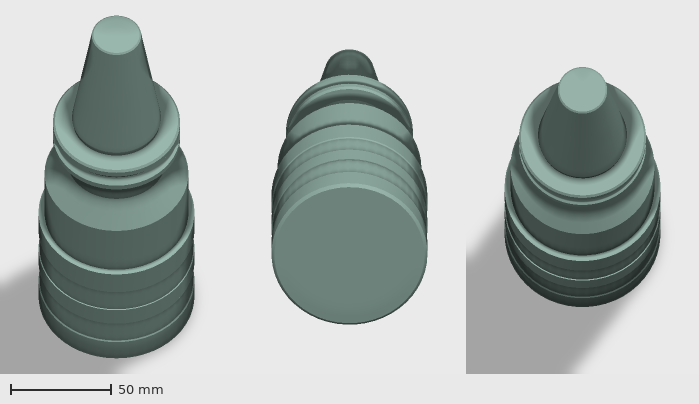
import cadquery as cq
import math


gauge_radius = 44.45 / 2
taper_length = 68.4
taper_slope = 7 / 24 / 2
taper_tip_chamfer = 0.7
gauge_land = 0.4
relief_radius = 21.75

flange_radius = 63.55 / 2
flange_top_z = -3.2
flange_bottom_z = -19.1
flange_chamfer = 1.0
groove_center_z = -11.1
groove_radius = 56.25 / 2
groove_mouth_width = 7.6
groove_flank_angle = 30

neck_radius = 24.85
shoulder_top_z = -35.0
body_radius = 36.0
shoulder_bottom_z = -46.9

nose_bottom_z = -150.0
nose_radius = 38.4
collar_radius = 39.0
collar_edge_chamfer = collar_radius - nose_radius
upper_collar_top_z = -79.0
upper_collar_bottom_z = -94.3
middle_collar_top_z = -108.6
middle_collar_bottom_z = -119.8
lower_collar_top_z = -134.5
nose_chamfer = 1.5


def taper_points():
    """Half outline from the small end down to the top of the flange."""
    tip_radius = gauge_radius - taper_length * taper_slope
    chamfer_z = taper_length - taper_tip_chamfer
    chamfer_radius = gauge_radius - chamfer_z * taper_slope
    return [
        (0, taper_length),
        (tip_radius - taper_tip_chamfer, taper_length),
        (chamfer_radius, chamfer_z),
        (gauge_radius, 0),
        (gauge_radius, -gauge_land),
        (relief_radius, -gauge_land),
        (relief_radius, flange_top_z),
    ]


def flange_points():
    """Half outline of the flange with its V groove."""
    flank_height = (flange_radius - groove_radius) * math.tan(math.radians(groove_flank_angle))
    mouth_top_z = groove_center_z + groove_mouth_width / 2
    mouth_bottom_z = groove_center_z - groove_mouth_width / 2
    return [
        (flange_radius - flange_chamfer, flange_top_z),
        (flange_radius, flange_top_z - flange_chamfer),
        (flange_radius, mouth_top_z),
        (groove_radius, mouth_top_z - flank_height),
        (groove_radius, mouth_bottom_z + flank_height),
        (flange_radius, mouth_bottom_z),
        (flange_radius, flange_bottom_z + flange_chamfer),
        (flange_radius - flange_chamfer, flange_bottom_z),
    ]


def body_points():
    """Half outline of the neck, the conical shoulder and the body."""
    return [
        (neck_radius, flange_bottom_z),
        (neck_radius, shoulder_top_z),
        (body_radius, shoulder_bottom_z),
        (body_radius, upper_collar_top_z),
    ]


def nose_points():
    """Half outline of the nose, down to the axis at the bottom face."""
    return [
        (collar_radius, upper_collar_top_z),
        (collar_radius, upper_collar_bottom_z + collar_edge_chamfer),
        (nose_radius, upper_collar_bottom_z),
        (nose_radius, middle_collar_top_z),
        (collar_radius, middle_collar_top_z),
        (collar_radius, middle_collar_bottom_z),
        (nose_radius, middle_collar_bottom_z),
        (nose_radius, lower_collar_top_z),
        (collar_radius, lower_collar_top_z - collar_edge_chamfer),
        (collar_radius, nose_bottom_z + nose_chamfer),
        (collar_radius - nose_chamfer, nose_bottom_z),
        (0, nose_bottom_z),
    ]


outline = taper_points() + flange_points() + body_points() + nose_points()
result = cq.Workplane("XZ").polyline(outline).close().revolve(360, (0, 0), (0, 1))